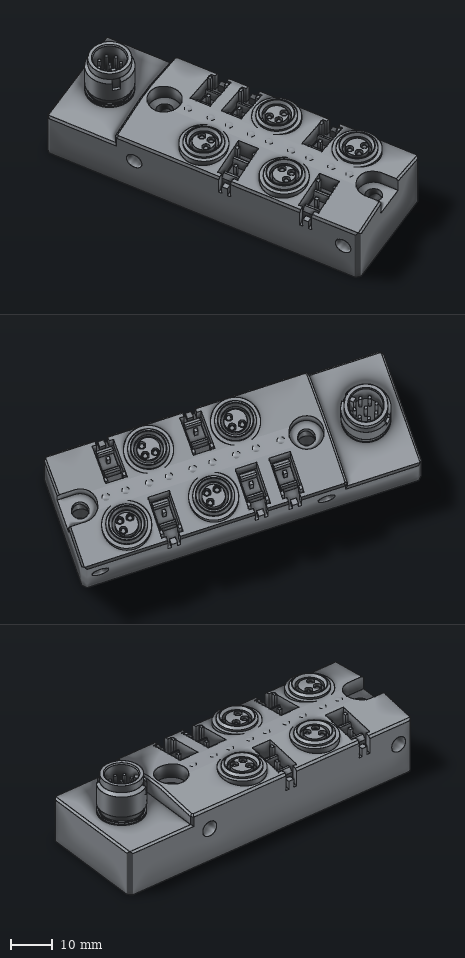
import cadquery as cq
import math

LENGTH = 85.5
WIDTH = 30.0
DECK_Z = 12.6
STEP_X = 18.8
RIDGE_Z = 17.0
EAVE_Z = 15.3
STRIP_WIDTH = 5.0
CORNER_CHAMFER = 1.0
CORNER_BLEND_R = 0.4
STEP_CHAMFER = 0.6
EDGE_CHAMFER = 0.5
DECK_OVERLAP = 4.3
ROOF_SLOPE = (RIDGE_Z - EAVE_Z) / (WIDTH / 2 - STRIP_WIDTH / 2)

MOUNT_XS = (24.2, 81.1)
MOUNT_HOLE_D = 4.2
COUNTERBORE_D = 8.4
COUNTERBORE_FLOOR_Z = 13.0
CROSS_HOLE_Z = 9.3

PLUG_X = 9.2
PLUG_TOP_Z = 23.6
PLUG_BODY_D = 12.05
PLUG_BODY_BOTTOM_Z = 15.05
PLUG_SHOULDER_Z = 21.6
PLUG_NECK_D = 10.6
PLUG_RIM_D = 10.5
PLUG_FLANGE_D = 12.0
PLUG_FLANGE_TOP_Z = 13.3
PLUG_FLANGE_BAND = 0.3
PLUG_FLANGE_GROOVE_D = 10.95
PLUG_MOUTH_D = 8.7
PLUG_MOUTH_DEPTH = 0.3
PLUG_BORE_D = 8.2
PLUG_BORE_FLOOR_Z = 15.4
PLUG_NOTCH_WIDTH = 2.0
PLUG_NOTCH_FLOOR_Z = 18.55
PIN_D = 0.8
PIN_CIRCLE_R = 2.7
PIN_TOP_Z = 21.4
PIN_PITCH_ANGLE = 48.5
PIN_COUNT_ON_CIRCLE = 7
KEY_ANGLE = -45.0
KEY_WIDTH = 1.2
KEY_INNER_R = 3.0
KEY_TOP_Z = 23.0

SOCKET_PITCH = 10.95
SOCKET_FIRST_X = 39.3
SOCKET_COUNT = 4
SOCKET_Y = 8.0
SOCKET_BASE_Z = 13.7
SOCKET_FLANGE_D = 12.0
SOCKET_FLANGE_Z = 17.0
SOCKET_RING_D = 10.0
SOCKET_RING_Z = 17.5
SOCKET_TOP_D = 8.7
SOCKET_TOP_Z = 18.1
SOCKET_MOUTH_D = 8.4
SOCKET_BORE_D = 7.1
SOCKET_CONE_Z = 17.4
SOCKET_GROOVE_Z = 15.9
INSERT_D = 5.65
INSERT_Z = 17.6
CONTACT_OFFSET = 1.3
CONTACT_HOLE_D = 1.9
CONTACT_D = 1.2
CONTACT_Z = 17.0
CONTACT_FLOOR_Z = 15.4

LIGHT_D = 1.9
LIGHT_DOME = 0.2
LIGHT_ROOT = 0.2
LIGHT_OFFSET = 2.5
FIRST_LIGHT_X = 30.6

POCKETS = ((32.1, 1), (40.5, 1), (62.5, 1), (48.8, -1), (70.9, -1))
POCKET_WIDTH = 5.4
POCKET_INNER_Y = 3.25
POCKET_OUTER_Y = 13.5
POCKET_WALL_FLOOR_Z = 10.5
POCKET_BASE_Z = POCKET_WALL_FLOOR_Z - 0.4
CHANNEL_WIDTH = 3.2
TONGUE_WIDTH = 1.5
TONGUE_TOP_Z = 12.8
POST_DEPTH = 0.8
POST_LENGTH = 1.0
POST_TOP_Z = 15.9
POST_FROM_END = 1.3
CLIP_WIDTH = 4.0
CLIP_PLATE_Z = 12.3
CLIP_START = 2.8
CLIP_LENGTH = 6.7
CLIP_RIDGE_Z = 14.45
CLIP_RIDGE_WIDTH = 0.5
CLIP_BEVEL = 0.9
CLIP_BACK_BEVEL = 0.5
CLIP_BACK_SLOPE = 0.5
PEG_SIZE = 0.85
PEG_TOP_Z = 15.4
PEG_FROM_END = 6.2


def cylinder(x, y, diameter, bottom, top):
    return cq.Workplane("XY", origin=(x, y, bottom)).circle(diameter / 2).extrude(top - bottom)


def block(x_mid, y_mid, x_size, y_size, bottom, top):
    plane = cq.Workplane("XY", origin=(x_mid, y_mid, bottom))
    return plane.rect(x_size, y_size).extrude(top - bottom)


def revolved(x, y, outline):
    """Turn an outline of (radius, Z) points about the vertical axis at (x, y)."""
    plane = cq.Workplane("XZ", origin=(x, y, 0))
    return plane.polyline(outline).close().revolve(360, (0, 0), (0, 1))


def make_plan_envelope():
    """Full-height block with chamfered upright corners, each chamfer softened along both edges."""
    envelope = block(LENGTH / 2, 0, LENGTH, WIDTH, 0, RIDGE_Z)
    return envelope.edges("|Z").chamfer(CORNER_CHAMFER).edges("|Z").fillet(CORNER_BLEND_R)


def make_deck():
    deck_length = STEP_X + DECK_OVERLAP
    deck = block(deck_length / 2, 0, deck_length, WIDTH, 0, DECK_Z)
    rim = deck.faces(">Z").edges().filter(lambda e: e.Center().x < deck_length - EDGE_CHAMFER)
    return deck.newObject(rim.vals()).chamfer(EDGE_CHAMFER)


def make_roof_block():
    half = WIDTH / 2
    strip = STRIP_WIDTH / 2
    outline = [
        (-half, 0), (half, 0), (half, EAVE_Z), (strip, RIDGE_Z), (-strip, RIDGE_Z), (-half, EAVE_Z),
    ]
    body = cq.Workplane("YZ", origin=(STEP_X, 0, 0)).polyline(outline).close().extrude(LENGTH - STEP_X)
    body = body.edges("|Z and <X").chamfer(STEP_CHAMFER)

    def on_rim(edge):
        """True for the eaves and the top edges of both end faces."""
        bounds = edge.BoundingBox()
        runs_along_x = bounds.xlen > (LENGTH - STEP_X) / 2
        between_roof_planes = runs_along_x and abs(edge.Center().y) < half / 2
        return bounds.zmin > DECK_Z and not between_roof_planes

    rim = body.edges().filter(on_rim)
    return body.newObject(rim.vals()).chamfer(EDGE_CHAMFER)


def cut_mounting(body):
    for x in MOUNT_XS:
        body = body.cut(cylinder(x, 0, COUNTERBORE_D, COUNTERBORE_FLOOR_Z, RIDGE_Z))
        body = body.cut(cylinder(x, 0, MOUNT_HOLE_D, 0, RIDGE_Z))
        cross_hole = cq.Workplane("XZ", origin=(x, 0, CROSS_HOLE_Z)).circle(MOUNT_HOLE_D / 2)
        body = body.cut(cross_hole.extrude(WIDTH, both=True))
    end_x = MOUNT_XS[1]
    end_slot = block((end_x + LENGTH) / 2, 0, LENGTH - end_x, COUNTERBORE_D, COUNTERBORE_FLOOR_Z, RIDGE_Z)
    return body.cut(end_slot)


def make_plug():
    neck_r = PLUG_NECK_D / 2
    body_r = PLUG_BODY_D / 2
    flange_r = PLUG_FLANGE_D / 2
    rim_r = PLUG_RIM_D / 2
    bore_r = PLUG_BORE_D / 2
    band_top_z = DECK_Z + PLUG_FLANGE_BAND
    groove_z = (band_top_z + PLUG_FLANGE_TOP_Z) / 2
    outline = [
        (0, DECK_Z), (flange_r, DECK_Z), (flange_r, band_top_z),
        (PLUG_FLANGE_GROOVE_D / 2, groove_z), (flange_r, PLUG_FLANGE_TOP_Z),
        (neck_r, PLUG_FLANGE_TOP_Z),
        (neck_r, PLUG_BODY_BOTTOM_Z), (body_r, PLUG_BODY_BOTTOM_Z),
        (body_r, PLUG_SHOULDER_Z - (body_r - rim_r)), (rim_r, PLUG_SHOULDER_Z),
        (rim_r, PLUG_TOP_Z), (PLUG_MOUTH_D / 2, PLUG_TOP_Z), (bore_r, PLUG_TOP_Z - PLUG_MOUTH_DEPTH),
        (bore_r, PLUG_BORE_FLOOR_Z), (0, PLUG_BORE_FLOOR_Z),
    ]
    plug = revolved(PLUG_X, 0, outline)

    notch_depth = body_r - rim_r
    for angle in (KEY_ANGLE, KEY_ANGLE + 180):
        notch = block(
            body_r - notch_depth / 2, 0, notch_depth, PLUG_NOTCH_WIDTH, PLUG_NOTCH_FLOOR_Z, PLUG_SHOULDER_Z
        )
        plug = plug.cut(notch.rotate((0, 0, 0), (0, 0, 1), angle).translate((PLUG_X, 0, 0)))

    key_length = bore_r - KEY_INNER_R
    key = block(KEY_INNER_R + key_length / 2, 0, key_length, KEY_WIDTH, PLUG_BORE_FLOOR_Z, KEY_TOP_Z)
    plug = plug.union(key.rotate((0, 0, 0), (0, 0, 1), KEY_ANGLE).translate((PLUG_X, 0, 0)))

    plug = plug.union(cylinder(PLUG_X, 0, PIN_D, PLUG_BORE_FLOOR_Z, PIN_TOP_Z))
    for index in range(PIN_COUNT_ON_CIRCLE):
        steps = index - (PIN_COUNT_ON_CIRCLE - 1) / 2
        angle = math.radians(KEY_ANGLE + 180 + steps * PIN_PITCH_ANGLE)
        x = PLUG_X + PIN_CIRCLE_R * math.cos(angle)
        plug = plug.union(cylinder(x, PIN_CIRCLE_R * math.sin(angle), PIN_D, PLUG_BORE_FLOOR_Z, PIN_TOP_Z))
    return plug


def make_socket(x, side):
    y = side * SOCKET_Y
    outline = [
        (0, SOCKET_BASE_Z), (SOCKET_FLANGE_D / 2, SOCKET_BASE_Z), (SOCKET_FLANGE_D / 2, SOCKET_FLANGE_Z),
        (SOCKET_RING_D / 2, SOCKET_FLANGE_Z), (SOCKET_RING_D / 2, SOCKET_RING_Z),
        (SOCKET_TOP_D / 2, SOCKET_TOP_Z), (SOCKET_MOUTH_D / 2, SOCKET_TOP_Z),
        (SOCKET_BORE_D / 2, SOCKET_CONE_Z), (SOCKET_BORE_D / 2, SOCKET_GROOVE_Z),
        (INSERT_D / 2, SOCKET_GROOVE_Z), (INSERT_D / 2, INSERT_Z), (0, INSERT_Z),
    ]
    socket = revolved(x, y, outline)
    contacts = ((1, -1), (1, 1), (-1, -1)) if side > 0 else ((1, -1), (1, 1), (-1, 1))
    for x_sign, y_sign in contacts:
        contact_x = x + x_sign * CONTACT_OFFSET
        contact_y = y + y_sign * CONTACT_OFFSET
        socket = socket.cut(cylinder(contact_x, contact_y, CONTACT_HOLE_D, CONTACT_FLOOR_Z, INSERT_Z))
        socket = socket.union(cylinder(contact_x, contact_y, CONTACT_D, CONTACT_FLOOR_Z, CONTACT_Z))
    return socket


def make_light(x):
    """Shallow domed lens standing on the strip, cut from a large ball."""
    radius = LIGHT_D / 2
    ball_r = (radius**2 + LIGHT_DOME**2) / (2 * LIGHT_DOME)
    ball = cq.Workplane("XY").sphere(ball_r).rotate((0, 0, 0), (1, 0, 0), 90)
    ball = ball.translate((x, 0, RIDGE_Z + LIGHT_DOME - ball_r))
    return ball.intersect(cylinder(x, 0, LIGHT_D, RIDGE_Z - LIGHT_ROOT, RIDGE_Z + LIGHT_DOME))


def pocket_prism(x, width, outline):
    """Extrude a (Y, Z) outline along X, centred on x."""
    plane = cq.Workplane("YZ", origin=(x - width / 2, 0, 0))
    return plane.polyline(outline).close().extrude(width)


def make_pocket_space(x, side):
    """Pocket and its channel through the wall, on a floor parallel to the roof slope."""
    half = WIDTH / 2

    def space(width, inner_y, outer_y):
        inner_floor_z = POCKET_WALL_FLOOR_Z + ROOF_SLOPE * (half - inner_y)
        outer_floor_z = POCKET_WALL_FLOOR_Z + ROOF_SLOPE * (half - outer_y)
        outline = [
            (side * inner_y, inner_floor_z), (side * outer_y, outer_floor_z),
            (side * outer_y, RIDGE_Z), (side * inner_y, RIDGE_Z),
        ]
        return pocket_prism(x, width, outline)

    pocket = space(POCKET_WIDTH, POCKET_INNER_Y, POCKET_OUTER_Y)
    pocket = pocket.union(space(CHANNEL_WIDTH, POCKET_OUTER_Y, half))
    tongue_y = side * (half + POCKET_OUTER_Y) / 2
    tongue = block(x, tongue_y, TONGUE_WIDTH, half - POCKET_OUTER_Y, POCKET_BASE_Z, TONGUE_TOP_Z)
    return pocket.cut(tongue)


def make_clip(x, side):
    """Label clip: a plate between two ridges that follow the roof slope, a peg and two side posts."""
    end_y = POCKET_OUTER_Y if side > 0 else -POCKET_INNER_Y
    back = end_y - CLIP_START
    front = back - CLIP_LENGTH
    middle = (back + front) / 2
    front_ridge = front + CLIP_BEVEL
    back_ridge = back - CLIP_BACK_BEVEL
    upper_points = [
        (front, CLIP_RIDGE_Z - CLIP_BEVEL), (front_ridge, CLIP_RIDGE_Z),
        (front_ridge + CLIP_RIDGE_WIDTH, CLIP_RIDGE_Z), (front_ridge + CLIP_RIDGE_WIDTH, CLIP_PLATE_Z),
        (back_ridge - CLIP_RIDGE_WIDTH - CLIP_BACK_SLOPE, CLIP_PLATE_Z),
        (back_ridge - CLIP_RIDGE_WIDTH, CLIP_RIDGE_Z), (back_ridge, CLIP_RIDGE_Z),
        (back, CLIP_RIDGE_Z - CLIP_BACK_BEVEL),
    ]
    sloped = [(y, z - side * ROOF_SLOPE * (y - middle)) for y, z in upper_points]
    outline = [(front, POCKET_BASE_Z)] + sloped + [(back, POCKET_BASE_Z)]
    clip = pocket_prism(x, CLIP_WIDTH, outline)
    clip = clip.union(block(x, end_y - PEG_FROM_END, PEG_SIZE, PEG_SIZE, POCKET_BASE_Z, PEG_TOP_Z))
    for wall_side in (-1, 1):
        post_x = x + wall_side * (POCKET_WIDTH - POST_DEPTH) / 2
        post = block(post_x, end_y - POST_FROM_END, POST_DEPTH, POST_LENGTH, POCKET_BASE_Z, POST_TOP_Z)
        clip = clip.union(post)
    return clip


body = make_roof_block().union(make_deck()).intersect(make_plan_envelope())
body = cut_mounting(body)

for pocket_x, pocket_side in POCKETS:
    body = body.cut(make_pocket_space(pocket_x, pocket_side))
    body = body.union(make_clip(pocket_x, pocket_side))

body = body.union(make_light(FIRST_LIGHT_X))
for socket_index in range(SOCKET_COUNT):
    socket_x = SOCKET_FIRST_X + socket_index * SOCKET_PITCH
    socket_side = 1 if socket_index % 2 else -1
    body = body.union(make_socket(socket_x, socket_side))
    for light_side in (-1, 1):
        body = body.union(make_light(socket_x + light_side * LIGHT_OFFSET))

result = body.union(make_plug())